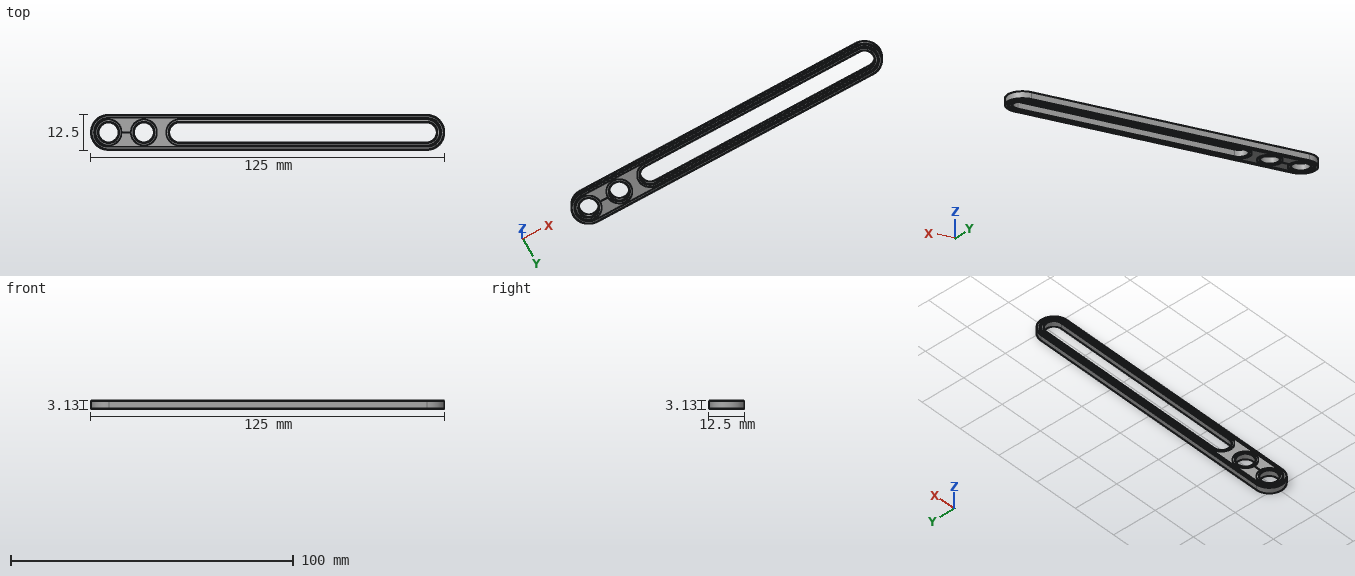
import cadquery as cq

pitch = 12.5
length = 10 * pitch
width = pitch
thickness = pitch / 4
edge_chamfer = 0.3
chamfer_angle = 45

bore_diameter = 7.0
bar_end = length - width
openings = [(0, 0), (pitch, pitch), (2 * pitch, bar_end)]

wall = 1.1
recess_width = width - 2 * wall
recess_depth = 0.2
collar_diameter = bore_diameter + 2 * wall

rib_width = 0.1
rib_height = 0.1


def stadium(start, end, diameter, height, taper=0):
    """Upright prism on Z = 0 with round ends centred at x = start and x = end."""
    outline = cq.Workplane("XY").center((start + end) / 2, 0)
    if start == end:
        outline = outline.circle(diameter / 2)
    else:
        outline = outline.slot2D(end - start + diameter, diameter)
    return outline.extrude(height, taper=taper)


def flip(shape):
    """Mirror a shape from the bottom face to the top face."""
    return shape.mirror("XY", (0, 0, thickness / 2))


def make_bar():
    """Solid bar with chamfered outer edges."""
    return stadium(0, bar_end, width, thickness).faces("<Z or >Z").chamfer(edge_chamfer)


def make_recess():
    """Cutter for the recess of the bottom face, leaving the collars and the rib."""
    recess = stadium(0, bar_end, recess_width, recess_depth)
    for start, end in openings:
        recess = recess.cut(stadium(start, end, collar_diameter, recess_depth))
    rib = cq.Workplane("XY").box(pitch, rib_width, rib_height, centered=(False, True, False))
    return recess.cut(rib.translate((0, 0, recess_depth - rib_height)))


def make_opening(start, end):
    """Cutter for one opening: a through bore chamfered at both faces."""
    bore = stadium(start, end, bore_diameter, thickness)
    mouth_diameter = bore_diameter + 2 * edge_chamfer
    mouth = stadium(start, end, mouth_diameter, edge_chamfer, chamfer_angle)
    return bore.union(mouth).union(flip(mouth))


recess = make_recess()
result = make_bar().cut(recess).cut(flip(recess))
for start, end in openings:
    result = result.cut(make_opening(start, end))